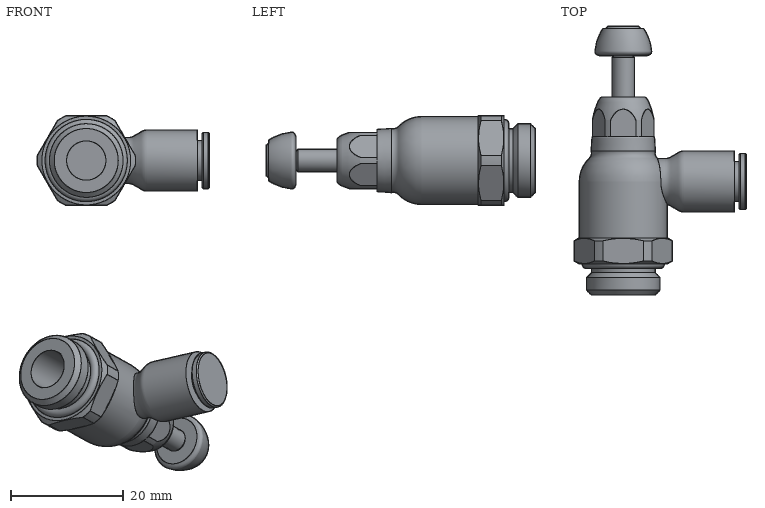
import cadquery as cq
import math


thread_radius = 6.55
thread_chamfer = 0.85
thread_top = 4.0
relief_radius = thread_radius - thread_chamfer
bore_radius = 3.5
seal_bottom = 4.7
seal_radius = 7.35

hex_sides = 6
hex_bottom = 5.55
hex_top = 10.15
bore_depth = hex_top
hex_flats = 16.0
hex_corner_radius = 8.75
hex_face_radius = 7.9
hex_chamfer_angle = 30

body_radius = 7.85
shoulder_start = 20.2
shoulder_end = 24.35
shoulder_end_radius = 6.1
collar_start = 25.65
collar_start_radius = 5.75
collar_end = 27.95
collar_end_radius = 5.6

nut_bottom = 28.2
nut_flats = 10.05
nut_corner_radius = 5.5
nut_dome_start = 31.15
nut_dome_end = 34.4
nut_dome_end_radius = 4.55
nut_dome_bulge = 0.1
nut_top = 35.3
nut_top_radius = 3.85

stem_radius = 2.0
stem_chamfer = 0.35
knob_bottom = 42.6
knob_bottom_radius = 4.25
knob_edge = 42.8
knob_edge_radius = 4.7
knob_edge_bulge = 0.1
knob_widest = 43.35
knob_radius = 5.1
knob_bulge = 0.3
knob_shoulder = 47.5
knob_shoulder_radius = 3.65
knob_rim_radius = 3.1
knob_top_radius = 2.75
total_length = 47.9

outlet_center = shoulder_start
outlet_radius = 5.45
outlet_neck_radius = 4.1
outlet_neck_end = 7.5
outlet_flare_angle = 30
outlet_flare_blend = 1.8
outlet_barrel_start = 10.85
outlet_barrel_end = 19.8
collet_neck_radius = 3.6
collet_radius = 5.05
collet_start = 20.6
collet_end = 21.95
collet_chamfer = 0.25


def bulged_middle(start, end, bulge):
    """Point halfway between start and end, moved away from the axis (X = 0) by bulge."""
    step_x = end[0] - start[0]
    step_y = end[1] - start[1]
    chord = math.hypot(step_x, step_y)
    middle_x = (start[0] + end[0]) / 2
    middle_y = (start[1] + end[1]) / 2
    return middle_x + bulge * step_y / chord, middle_y - bulge * step_x / chord


def revolve_about_y(outline):
    return outline.close().revolve(360, (0, 0, 0), (0, 1, 0))


def hexagon(flats, start, end):
    """Hexagonal prism along Y with two flats facing +Z and -Z."""
    corner_diameter = flats / math.cos(math.pi / hex_sides)
    return (
        cq.Workplane("XZ", origin=(0, start, 0))
        .polygon(hex_sides, corner_diameter)
        .extrude(start - end)
    )


def threaded_end():
    seal_middle_radius = (relief_radius + seal_radius) / 2
    outline = (
        cq.Workplane("XY")
        .lineTo(thread_radius - thread_chamfer, 0)
        .lineTo(thread_radius, thread_chamfer)
        .lineTo(thread_radius, thread_top - thread_chamfer)
        .lineTo(relief_radius, thread_top)
        .lineTo(relief_radius, hex_bottom)
        .threePointArc((seal_middle_radius, seal_bottom), (seal_radius, hex_bottom))
        .lineTo(0, hex_bottom)
    )
    return revolve_about_y(outline)


def large_hexagon():
    chamfer_height = (hex_corner_radius - hex_face_radius) * math.tan(math.radians(hex_chamfer_angle))
    envelope = (
        cq.Workplane("XY")
        .moveTo(0, hex_bottom)
        .lineTo(hex_face_radius, hex_bottom)
        .lineTo(hex_corner_radius, hex_bottom + chamfer_height)
        .lineTo(hex_corner_radius, hex_top - chamfer_height)
        .lineTo(hex_face_radius, hex_top)
        .lineTo(0, hex_top)
    )
    return hexagon(hex_flats, hex_bottom, hex_top).intersect(revolve_about_y(envelope))


def body():
    outline = (
        cq.Workplane("XY")
        .moveTo(0, hex_top)
        .lineTo(body_radius, hex_top)
        .lineTo(body_radius, shoulder_start)
        .tangentArcPoint((shoulder_end_radius, shoulder_end), relative=False)
        .tangentArcPoint((collar_start_radius, collar_start), relative=False)
        .lineTo(collar_end_radius, collar_end)
        .lineTo(nut_corner_radius, nut_bottom)
        .lineTo(0, nut_bottom)
    )
    return revolve_about_y(outline)


def nut():
    dome_start = (nut_corner_radius, nut_dome_start)
    dome_end = (nut_dome_end_radius, nut_dome_end)
    envelope = (
        cq.Workplane("XY")
        .moveTo(0, nut_bottom)
        .lineTo(nut_corner_radius, nut_bottom)
        .lineTo(*dome_start)
        .threePointArc(bulged_middle(dome_start, dome_end, nut_dome_bulge), dome_end)
        .tangentArcPoint((nut_top_radius, nut_top), relative=False)
        .lineTo(0, nut_top)
    )
    return hexagon(nut_flats, nut_bottom, nut_top).intersect(revolve_about_y(envelope))


def stem_and_knob():
    edge = (knob_edge_radius, knob_edge)
    side_start = (knob_radius, knob_widest)
    side_end = (knob_shoulder_radius, knob_shoulder)
    outline = (
        cq.Workplane("XY")
        .moveTo(0, nut_top)
        .lineTo(stem_radius, nut_top)
        .lineTo(stem_radius, knob_bottom - stem_chamfer)
        .lineTo(stem_radius - stem_chamfer, knob_bottom)
        .lineTo(knob_bottom_radius, knob_bottom)
        .lineTo(*edge)
        .threePointArc(bulged_middle(edge, side_start, knob_edge_bulge), side_start)
        .threePointArc(bulged_middle(side_start, side_end, knob_bulge), side_end)
        .lineTo(knob_rim_radius, knob_shoulder)
        .lineTo(knob_top_radius, total_length)
        .lineTo(0, total_length)
    )
    return revolve_about_y(outline)


def tube_outlet():
    flare = math.radians(outlet_flare_angle)
    blend_length = outlet_flare_blend * math.sin(flare)
    blend_rise = outlet_flare_blend * (1 - math.cos(flare))
    outline = (
        cq.Workplane("XY", origin=(0, outlet_center, 0))
        .lineTo(0, outlet_neck_radius)
        .lineTo(outlet_neck_end, outlet_neck_radius)
        .tangentArcPoint((blend_length, blend_rise))
        .lineTo(outlet_barrel_start - blend_length, outlet_radius - blend_rise)
        .tangentArcPoint((outlet_barrel_start, outlet_radius), relative=False)
        .lineTo(outlet_barrel_end, outlet_radius)
        .lineTo(outlet_barrel_end, collet_neck_radius)
        .lineTo(collet_start, collet_neck_radius)
        .lineTo(collet_start, collet_radius - collet_chamfer)
        .lineTo(collet_start + collet_chamfer, collet_radius)
        .lineTo(collet_end - collet_chamfer, collet_radius)
        .lineTo(collet_end, collet_radius - collet_chamfer)
        .lineTo(collet_end, 0)
        .close()
    )
    return outline.revolve(360, (0, 0, 0), (1, 0, 0))


def bore():
    return cq.Workplane("XZ").circle(bore_radius).extrude(-bore_depth)


result = (
    threaded_end()
    .union(large_hexagon())
    .union(body())
    .union(nut())
    .union(stem_and_knob())
    .union(tube_outlet())
    .cut(bore())
)